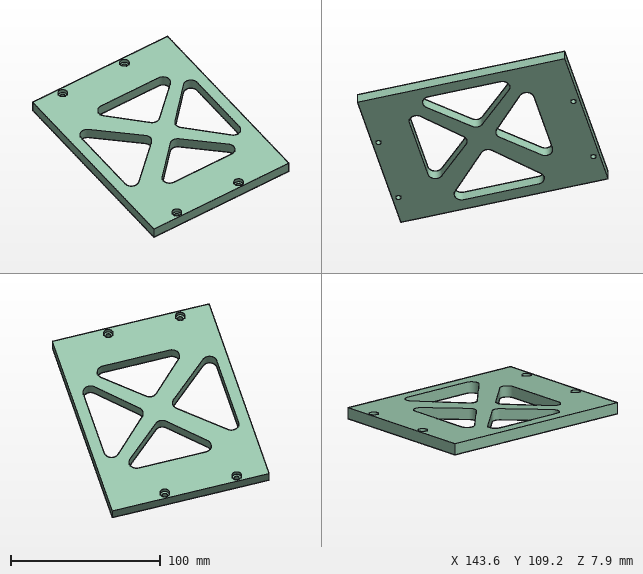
import cadquery as cq

length = 143.6
width = 109.2
thickness = 7.9

corner_radius = 5.0
end_window_base_y = 46.5
end_window_half_base = 37.5
upper_apex_y = 10.5
lower_apex_y = -6.0
side_window_base_x = 43.1
side_window_top_y = 40.6
side_window_bottom_y = -30.7
side_apex_x = 8.2
side_apex_y = 3.2

hole_diameter = 3.5
counterbore_diameter = 6.5
counterbore_depth = 2.9
hole_x = 67.5
hole_upper_y = 16.8
hole_pitch = 50.0


def window(corners):
    """Triangular cutter through the plate with rounded corners."""
    prism = cq.Workplane("XY").polyline(corners).close().extrude(thickness)
    return prism.edges("|Z").fillet(corner_radius)


def end_window(base_y, apex_y):
    """Window facing a long side, symmetric about the Y axis."""
    return window([
        (-end_window_half_base, base_y),
        (end_window_half_base, base_y),
        (0, apex_y),
    ])


def side_window(side):
    """Window facing a short side; side is -1 for left and 1 for right."""
    return window([
        (side * side_window_base_x, side_window_top_y),
        (side * side_window_base_x, side_window_bottom_y),
        (side * side_apex_x, side_apex_y),
    ])


plate = cq.Workplane("XY").box(length, width, thickness, centered=(True, True, False))

plate = plate.cut(end_window(end_window_base_y, upper_apex_y))
plate = plate.cut(end_window(-end_window_base_y, lower_apex_y))
for side in (-1, 1):
    plate = plate.cut(side_window(side))

hole_centers = [
    (side * hole_x, y)
    for side in (-1, 1)
    for y in (hole_upper_y, hole_upper_y - hole_pitch)
]
result = (
    plate.faces(">Z")
    .workplane(origin=(0, 0, thickness))
    .pushPoints(hole_centers)
    .cboreHole(hole_diameter, counterbore_diameter, counterbore_depth)
)